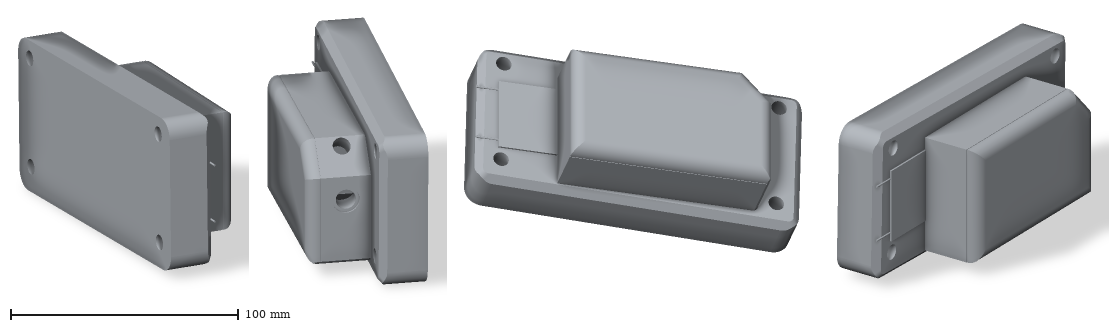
import cadquery as cq
import math


plate_length = 147.4
plate_width = 70.0
plate_centre_z = -1.65
plate_thickness = 21.4
plate_tilt = 1.43
plate_corner_radius = 8.0
plate_chamfer = 3.2
plate_mitre_radius = 4.0
screw_diameter = 7.0
screw_spacing_x = 125.0
screw_spacing_z = 50.0

case_left = -53.1
case_right = 37.7
case_top = 22.5
case_bottom = -32.2
large_corner_x = 13.2
large_corner_z = 14.0
small_corner = 1.4
overall_depth = 50.18
lid_height = 5.8
lid_radius = 5.5
groove_height = 0.45
groove_depth = 0.2
case_axis_y = 32.5

slant_hole_diameter = 8.0
slant_hole_depth = 10.0
slant_hole_position = 0.76

connector_z = -2.5
connector_diameter = 14.0
connector_length = 16.0
connector_recess_diameter = 12.0
connector_recess_depth = 1.0
connector_bore_diameter = 9.0
connector_bore_depth = 12.0

pin_diameter = 0.9
pin_spacing = 26.1
pin_middle_z = -0.45
pin_end = 74.59
strip_end = 64.5
strip_thickness = 0.9
strip_margin = 4.0

housing_top = overall_depth - lid_height
pin_levels = [pin_middle_z + side * pin_spacing / 2 for side in (-1, 1)]


def plane_facing_back(y):
    """Sketch plane at depth y: local x is X, local y is Z, and extruding a negative length goes to +Y."""
    return cq.Workplane("XZ", origin=(0, y, 0))


def cylinder_along_x(start, end, y, z, diameter):
    return cq.Workplane("YZ", origin=(start, y, z)).circle(diameter / 2).extrude(end - start)


def make_base_plate():
    rounded_block = (
        plane_facing_back(0)
        .center(0, plate_centre_z)
        .rect(plate_length, plate_width)
        .extrude(-plate_thickness)
        .edges("|Y")
        .fillet(plate_corner_radius)
    )
    frustum_foot_growth = 2 * (plate_thickness - plate_chamfer)
    frustum = (
        plane_facing_back(0)
        .center(0, plate_centre_z)
        .rect(plate_length + frustum_foot_growth, plate_width + frustum_foot_growth)
        .extrude(-plate_thickness, taper=45)
        .edges("not(#Y)")
        .fillet(plate_mitre_radius)
    )
    screw_holes = (
        plane_facing_back(0)
        .rect(screw_spacing_x, screw_spacing_z, forConstruction=True)
        .vertices()
        .circle(screw_diameter / 2)
        .extrude(-plate_thickness)
    )
    plate = rounded_block.intersect(frustum).cut(screw_holes)
    plate = plate.rotate((0, 0, 0), (0, 1, 0), -plate_tilt)
    for level in pin_levels:
        plate = plate.cut(make_pin(level))
    return plate


def case_outline(y):
    """Case outline with a large slanted upper-left corner and a square lower-left one."""
    return (
        plane_facing_back(y)
        .moveTo(case_right, case_bottom)
        .lineTo(case_right, case_top)
        .lineTo(case_left + large_corner_x, case_top)
        .lineTo(case_left, case_top - large_corner_z)
        .lineTo(case_left, case_bottom)
        .close()
    )


def case_block(y, height):
    return case_outline(y).extrude(-height)


def small_corner_wedge():
    """Material to cut from the lower-left corner of both case halves."""
    return (
        plane_facing_back(0)
        .moveTo(case_left, case_bottom)
        .lineTo(case_left + small_corner, case_bottom)
        .lineTo(case_left, case_bottom + small_corner)
        .close()
        .extrude(-overall_depth)
    )


def make_slant_hole():
    face_length = math.hypot(large_corner_x, large_corner_z)
    outward = (-large_corner_z / face_length, 0, large_corner_x / face_length)
    centre = (
        case_left + slant_hole_position * large_corner_x,
        case_axis_y,
        case_top - (1 - slant_hole_position) * large_corner_z,
    )
    face = cq.Plane(origin=centre, xDir=(0, 1, 0), normal=outward)
    return cq.Workplane(face).circle(slant_hole_diameter / 2).extrude(-slant_hole_depth)


def make_groove(y):
    """Shallow rectangular-section ring around the outside of the case, starting at depth y."""
    core = case_outline(y).offset2D(-groove_depth).extrude(-groove_height)
    return case_block(y, groove_height).cut(core)


def make_housing():
    housing = case_block(plate_thickness, housing_top - plate_thickness)
    connector_hole = cylinder_along_x(
        case_left, case_left + connector_length, case_axis_y, connector_z, connector_diameter
    )
    housing = housing.cut(small_corner_wedge()).cut(make_slant_hole()).cut(connector_hole)
    for groove_start in (plate_thickness, housing_top - groove_height):
        housing = housing.cut(make_groove(groove_start))
    return housing


def make_lid():
    lid = case_block(housing_top, lid_height).faces(">Y").edges().fillet(lid_radius)
    return lid.cut(small_corner_wedge())


def make_connector():
    def section(end, diameter):
        return cylinder_along_x(case_left, case_left + end, case_axis_y, connector_z, diameter)

    bore_radius = connector_bore_diameter / 2
    bore_floor = case_left + connector_bore_depth
    ridge = (
        cq.Workplane("XZ", origin=(0, case_axis_y, connector_z))
        .moveTo(bore_floor, -bore_radius)
        .lineTo(bore_floor - bore_radius, 0)
        .lineTo(bore_floor, bore_radius)
        .close()
        .extrude(bore_radius, both=True)
    )
    bore = section(connector_bore_depth, connector_bore_diameter).cut(ridge)
    recess = section(connector_recess_depth, connector_recess_diameter)
    return section(connector_length, connector_diameter).cut(recess).cut(bore)


def make_contact_strip():
    return cq.Workplane("XY").box(
        strip_end - case_right,
        strip_thickness,
        pin_spacing + 2 * strip_margin,
        centered=(False, False, True),
    ).translate((case_right, plate_thickness, pin_middle_z))


def make_pin(level):
    """Pin half sunk in the back face of the plate."""
    return cylinder_along_x(strip_end, pin_end, plate_thickness, level, pin_diameter)


base_plate = make_base_plate()
housing = make_housing()
lid = make_lid()
connector = make_connector()
contact_strip = make_contact_strip()
pins = [make_pin(level) for level in pin_levels]

result = cq.Compound.makeCompound(
    [
        base_plate.val(),
        housing.val(),
        lid.val(),
        connector.val(),
        contact_strip.val(),
        *[pin.val() for pin in pins],
    ]
)